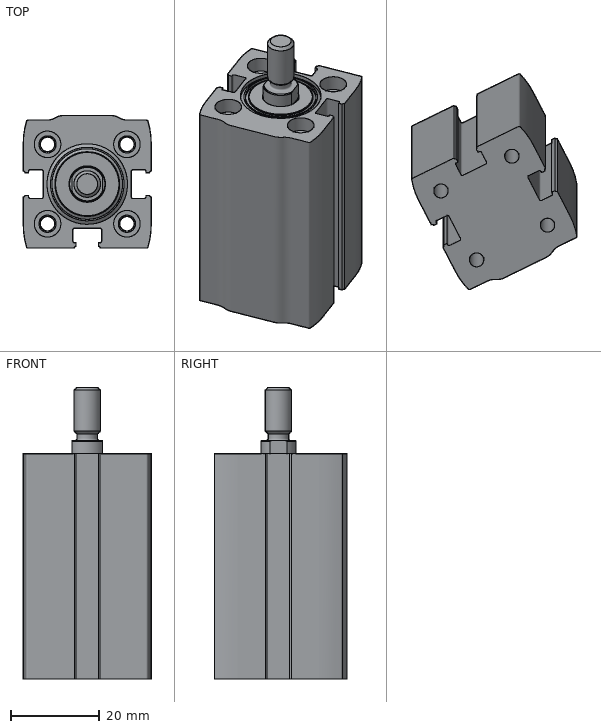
import cadquery as cq
import math


width = 29.0
half_width = width / 2
housing_height = 51.0
ridge_rise = 1.05
side_flat_half = 9.25
corner_half_x = 13.65
corner_fillet = 0.4
ridge_top_half = 5.3
ridge_foot_half = 9.1

slot_depth = 4.5
slot_opening = 5.1
slot_inner_width = 6.5
slot_lip = 1.25
slot_mouth_fillet = 0.4
slot_inner_fillet = 0.3

hole_offset = 9.0
hole_diameter = 3.25
hole_chamfer_diameter = 3.9
counterbore_diameter = 6.0
counterbore_depth = 3.5

groove_diameter = 18.2
land_outer_diameter = 16.6
land_inner_diameter = 16.0
ledge_outer_diameter = 14.65
disc_diameter = 14.3
disc_depth = 0.2
ledge_depth = 0.45
land_depth = 0.3
groove_depth = 0.9

overall_height = 66.0
rod_diameter = 8.0
rod_embedded = 9.9
bore_mouth_diameter = 8.25
bore_mouth_depth = 1.2
shoulder_height = 3.0
shoulder_chamfer = 0.2
wrench_flats = 7.0
flat_depth = 0.85
flat_run_out = 0.25
neck_diameter = 4.7
neck_foot_fillet = 0.4
neck_top = 4.4
thread_diameter = 6.0
thread_chamfer = (thread_diameter - neck_diameter) / 2


def housing_profile():
    """Cross-section with bowed X sides and an S-curved ridge along +Y."""
    bow_run = half_width - side_flat_half
    bow_drop = half_width - corner_half_x
    bow_radius = (bow_run ** 2 + bow_drop ** 2) / (2 * bow_drop)
    half_angle = math.asin(bow_run / bow_radius) / 2
    bow_mid_x = half_width - bow_radius * (1 - math.cos(half_angle))
    bow_mid_y = side_flat_half + bow_radius * math.sin(half_angle)

    ridge_y = half_width + ridge_rise
    ridge_mid_x = (ridge_top_half + ridge_foot_half) / 2
    ridge_mid_y = half_width + ridge_rise / 2

    return (
        cq.Workplane("XY")
        .moveTo(-corner_half_x, -half_width)
        .lineTo(corner_half_x, -half_width)
        .threePointArc((bow_mid_x, -bow_mid_y), (half_width, -side_flat_half))
        .lineTo(half_width, side_flat_half)
        .threePointArc((bow_mid_x, bow_mid_y), (corner_half_x, half_width))
        .lineTo(ridge_foot_half, half_width)
        .tangentArcPoint((ridge_mid_x, ridge_mid_y), relative=False)
        .tangentArcPoint((ridge_top_half, ridge_y), relative=False)
        .lineTo(-ridge_top_half, ridge_y)
        .tangentArcPoint((-ridge_mid_x, ridge_mid_y), relative=False)
        .tangentArcPoint((-ridge_foot_half, half_width), relative=False)
        .lineTo(-corner_half_x, half_width)
        .threePointArc((-bow_mid_x, bow_mid_y), (-half_width, side_flat_half))
        .lineTo(-half_width, -side_flat_half)
        .threePointArc((-bow_mid_x, -bow_mid_y), (-corner_half_x, -half_width))
        .close()
    )


def slot_cutter(angle):
    """T-slot opening on the -Y side, turned about Z by the given angle."""
    inner_depth = slot_depth - slot_lip
    mouth_half = slot_opening / 2
    flare_half = mouth_half + slot_mouth_fillet
    face_y = -half_width
    inner = (
        cq.Workplane("XY")
        .center(0, face_y + slot_lip + inner_depth / 2)
        .rect(slot_inner_width, inner_depth)
        .extrude(housing_height)
        .edges("|Z")
        .fillet(slot_inner_fillet)
    )
    mouth = (
        cq.Workplane("XY")
        .moveTo(-flare_half, face_y)
        .radiusArc((-mouth_half, face_y + slot_mouth_fillet), slot_mouth_fillet)
        .lineTo(-mouth_half, face_y + slot_lip)
        .lineTo(mouth_half, face_y + slot_lip)
        .lineTo(mouth_half, face_y + slot_mouth_fillet)
        .radiusArc((flare_half, face_y), slot_mouth_fillet)
        .close()
        .extrude(housing_height)
    )
    return inner.union(mouth).rotate((0, 0, 0), (0, 0, 1), angle)


def mounting_hole_cutter():
    """Counterbored through hole with a chamfered rim at the counterbore floor."""
    hole_radius = hole_diameter / 2
    rim_radius = hole_chamfer_diameter / 2
    bore_radius = counterbore_diameter / 2
    floor_z = housing_height - counterbore_depth
    return (
        cq.Workplane("XZ")
        .moveTo(0, 0)
        .lineTo(hole_radius, 0)
        .lineTo(hole_radius, floor_z - (rim_radius - hole_radius))
        .lineTo(rim_radius, floor_z)
        .lineTo(bore_radius, floor_z)
        .lineTo(bore_radius, housing_height)
        .lineTo(0, housing_height)
        .close()
        .revolve(360, (0, 0), (0, 1))
    )


def ring_groove_cutter():
    """Recess over the central disc, ringed by two grooves whose floors rise inward as cones."""
    disc_z = housing_height - disc_depth
    ledge_z = housing_height - ledge_depth
    land_z = housing_height - land_depth
    groove_z = housing_height - groove_depth
    return (
        cq.Workplane("XZ")
        .moveTo(0, housing_height)
        .lineTo(groove_diameter / 2, housing_height)
        .lineTo(groove_diameter / 2, groove_z)
        .lineTo(land_outer_diameter / 2, land_z)
        .lineTo(land_inner_diameter / 2, land_z)
        .lineTo(land_inner_diameter / 2, groove_z)
        .lineTo(ledge_outer_diameter / 2, ledge_z)
        .lineTo(disc_diameter / 2, ledge_z)
        .lineTo(disc_diameter / 2, disc_z)
        .lineTo(0, disc_z)
        .close()
        .revolve(360, (0, 0), (0, 1))
    )


def rod_bore_cutter():
    """Blind bore that fits the rod, with a slightly wider mouth."""
    bore = (
        cq.Workplane("XY")
        .workplane(offset=housing_height - rod_embedded)
        .circle(rod_diameter / 2)
        .extrude(rod_embedded)
    )
    mouth = (
        cq.Workplane("XY")
        .workplane(offset=housing_height - bore_mouth_depth)
        .circle(bore_mouth_diameter / 2)
        .extrude(bore_mouth_depth)
    )
    return bore.union(mouth)


def make_housing():
    """Slotted extrusion with four mounting holes and a bored, grooved top."""
    outer_corners = "|Z and (<(1,1,0) or >(1,1,0) or <(1,-1,0) or >(1,-1,0))"
    body = housing_profile().extrude(housing_height)
    body = body.edges(outer_corners).fillet(corner_fillet)
    for angle in (-90, 0, 90):
        body = body.cut(slot_cutter(angle))
    for x in (-hole_offset, hole_offset):
        for y in (-hole_offset, hole_offset):
            body = body.cut(mounting_hole_cutter().translate((x, y, 0)))
    return body.cut(ring_groove_cutter()).cut(rod_bore_cutter())


def make_rod():
    """Turned rod with two wrench flats, an undercut neck and a thread-sized tip."""
    rod_radius = rod_diameter / 2
    neck_radius = neck_diameter / 2
    thread_radius = thread_diameter / 2
    shoulder_z = housing_height + shoulder_height
    neck_top_z = housing_height + neck_top
    body = (
        cq.Workplane("XZ")
        .moveTo(0, housing_height - rod_embedded)
        .lineTo(rod_radius, housing_height - rod_embedded)
        .lineTo(rod_radius, shoulder_z - shoulder_chamfer)
        .lineTo(rod_radius - shoulder_chamfer, shoulder_z)
        .lineTo(neck_radius + neck_foot_fillet, shoulder_z)
        .radiusArc((neck_radius, shoulder_z + neck_foot_fillet), neck_foot_fillet)
        .lineTo(neck_radius, neck_top_z)
        .lineTo(thread_radius, neck_top_z + thread_chamfer)
        .lineTo(thread_radius, overall_height - thread_chamfer)
        .lineTo(thread_radius - thread_chamfer, overall_height)
        .lineTo(0, overall_height)
        .close()
        .revolve(360, (0, 0), (0, 1))
    )
    flat_end_z = housing_height - flat_depth
    flat_x = wrench_flats / 2
    flat_cutter = (
        cq.Workplane("XZ")
        .moveTo(flat_x, flat_end_z)
        .lineTo(rod_radius, flat_end_z - flat_run_out)
        .lineTo(rod_radius, shoulder_z)
        .lineTo(flat_x, shoulder_z)
        .close()
        .extrude(rod_radius, both=True)
    )
    return body.cut(flat_cutter).cut(flat_cutter.mirror("YZ"))


housing = make_housing()
rod = make_rod()
result = cq.Compound.makeCompound([housing.solids().val(), rod.solids().val()])